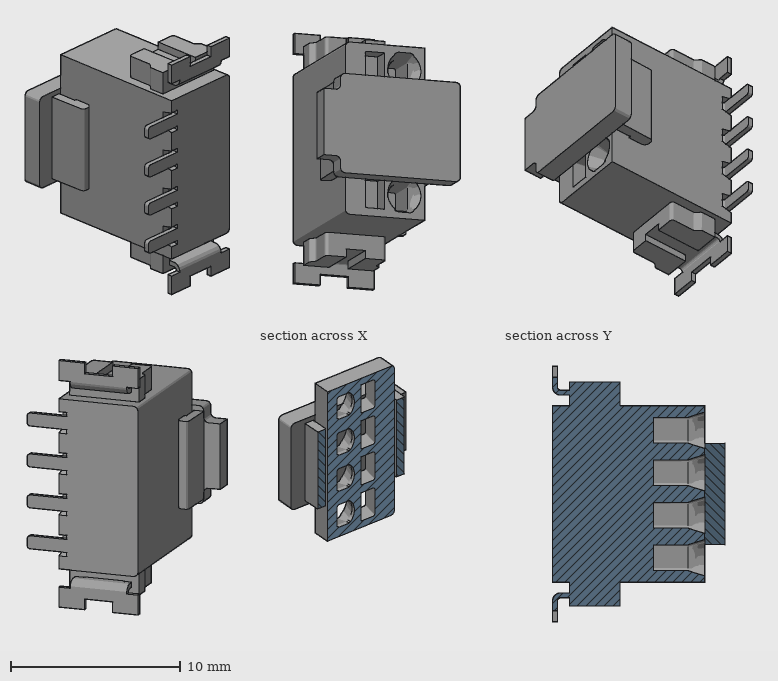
import cadquery as cq


housing_depth = 9.0
housing_width = 5.0
housing_half_width = housing_width / 2
housing_half_height = 5.21
housing_edge_radius = 0.3

pole_count = 4
pole_pitch = 2.5
pole_heights = [(i - (pole_count - 1) / 2) * pole_pitch for i in range(pole_count)]

funnel_depth = 1.0
funnel_center_y = -1.21
funnel_half_width = 1.04
funnel_half_height = 1.07
funnel_flat_half = 0.32
funnel_kink_y = 0.63
funnel_kink_z = 0.86
bore_end_depth = 3.02
bore_side_y = -1.77
bore_bulge_y = -0.51
bore_half_height = 0.77
bore_corner = 0.15
bore_kink_y = -0.8
bore_kink_drop = 0.06
bore_kink_run = 0.1

slot_low_y = 0.03
slot_high_y = 1.24
slot_floor_y = 1.0
slot_half_height = 0.97
slot_edge_radius = 0.09
slot_depth = 1.21

metal_thickness = 0.3
metal_front_x = housing_depth - metal_thickness

pin_tip_y = -4.5
pin_width = 0.8
pin_tip_radius = 0.2
pin_bend_radius = 0.29
pocket_depth_x = 0.68
pocket_depth_y = 0.5
pocket_front_half = 0.48
pocket_rear_half = 0.65

lug_front_x = 5.0
lug_rear_x = 8.0
lug_top = 6.61
lug_front_half = 1.89
lug_rear_half = 2.19
lug_step_x = 6.69
lug_edge_radius = 0.2
lug_groove_half = 0.6

bracket_top = 7.55
bracket_foot_z = 6.13
bracket_neck_half = 1.3
bracket_neck_end_x = 8.1
bracket_neck_chamfer = 0.06
bracket_web_half = 1.78
bracket_web_radius = 0.09
bracket_ear_bottom = 6.33
bracket_notch_half = 0.89
bracket_notch_bottom = 6.9
bend_inner_radius = 0.2
bend_outer_radius = bend_inner_radius + metal_thickness

cap_thickness = 1.2
cap_low_y = -4.3
cap_tab_y = 4.27
cap_half_height = 3.0
cap_shoulder_y = 3.23
cap_tab_half_height = 2.01
cap_corner_radius = 0.3
leg_length = 2.52
leg_half_height = 2.69
leg_root_outer_y = 3.25
leg_tip_outer_y = 3.2
leg_tip_start_x = 1.27
leg_inner_y = 2.63
leg_tip_outer_radius = 0.21
leg_tip_inner_radius = 0.35


def box(x0, x1, y0, y1, z0, z1):
    """Axis-aligned block between two opposite corners."""
    return cq.Workplane("XY").box(x1 - x0, y1 - y0, z1 - z0, centered=False).translate((x0, y0, z0))


def with_mirror(part, plane):
    return part.union(part.mirror(plane))


def make_block():
    block = box(0, housing_depth, -housing_half_width, housing_half_width,
                -housing_half_height, housing_half_height)
    return block.edges("|X and >Y").fillet(housing_edge_radius)


def funnel_outline(x):
    """Mouth of the wire entry: two bulging sides joined by flats with rounded corners."""
    run = funnel_kink_y - funnel_flat_half
    drop = funnel_half_height - funnel_kink_z
    corner_radius = (run**2 + drop**2) / (2 * drop)
    return (
        cq.Workplane("YZ", origin=(x, funnel_center_y, 0))
        .moveTo(-funnel_flat_half, funnel_half_height)
        .lineTo(funnel_flat_half, funnel_half_height)
        .radiusArc((funnel_kink_y, funnel_kink_z), corner_radius)
        .threePointArc((funnel_half_width, 0), (funnel_kink_y, -funnel_kink_z))
        .radiusArc((funnel_flat_half, -funnel_half_height), corner_radius)
        .lineTo(-funnel_flat_half, -funnel_half_height)
        .radiusArc((-funnel_kink_y, -funnel_kink_z), corner_radius)
        .threePointArc((-funnel_half_width, 0), (-funnel_kink_y, funnel_kink_z))
        .radiusArc((-funnel_flat_half, funnel_half_height), corner_radius)
        .close()
    )


def bore_outline(x):
    """Bore section: straight on the -Y side, bulging on the +Y side."""
    kink_z = bore_half_height - bore_kink_drop
    flat_end_y = bore_kink_y - bore_kink_run
    corner_y = bore_side_y + bore_corner
    corner_z = bore_half_height - bore_corner
    return (
        cq.Workplane("YZ", origin=(x, 0, 0))
        .moveTo(corner_y, bore_half_height)
        .lineTo(flat_end_y, bore_half_height)
        .lineTo(bore_kink_y, kink_z)
        .threePointArc((bore_bulge_y, 0), (bore_kink_y, -kink_z))
        .lineTo(flat_end_y, -bore_half_height)
        .lineTo(corner_y, -bore_half_height)
        .radiusArc((bore_side_y, -corner_z), bore_corner)
        .lineTo(bore_side_y, corner_z)
        .radiusArc((corner_y, bore_half_height), bore_corner)
        .close()
    )


def make_wire_entry():
    mouth = funnel_outline(0).val()
    throat = bore_outline(funnel_depth).val()
    funnel = cq.Workplane(cq.Solid.makeLoft([mouth, throat], True))
    return funnel.union(bore_outline(funnel_depth).extrude(bore_end_depth - funnel_depth))


def make_release_slot():
    """Slot whose +Y wall slopes inward towards its floor, with that wall's long edges rounded."""
    slot = (
        cq.Workplane("XY", origin=(0, 0, -slot_half_height))
        .moveTo(0, slot_low_y)
        .lineTo(slot_depth, slot_low_y)
        .lineTo(slot_depth, slot_floor_y)
        .lineTo(0, slot_high_y)
        .close()
        .extrude(2 * slot_half_height)
    )
    return slot.edges("not (|X or |Y or |Z)").fillet(slot_edge_radius)


def make_pin_pocket():
    """Recess for one pin, widening to the rear face."""
    front_x = housing_depth - pocket_depth_x
    outline = [
        (front_x, -pocket_front_half),
        (housing_depth, -pocket_rear_half),
        (housing_depth, pocket_rear_half),
        (front_x, pocket_front_half),
    ]
    return (
        cq.Workplane("XZ", origin=(0, -housing_half_width + pocket_depth_y, 0))
        .polyline(outline)
        .close()
        .extrude(pocket_depth_y)
    )


def make_pin():
    """Flat pin standing in its pocket, with a rounded root and rounded tip corners."""
    root_y = -housing_half_width + pocket_depth_y
    blade = box(metal_front_x, housing_depth, pin_tip_y, root_y, -pin_width / 2, pin_width / 2)
    blade = blade.edges("|X and <Y").fillet(pin_tip_radius)
    root = (
        cq.Workplane("XY", origin=(0, 0, -pin_width / 2))
        .moveTo(metal_front_x, root_y)
        .lineTo(metal_front_x - pin_bend_radius, root_y)
        .radiusArc((metal_front_x, root_y - pin_bend_radius), pin_bend_radius)
        .close()
        .extrude(pin_width)
    )
    return blade.union(root)


def make_lug():
    """Stepped lug on the top face, with a groove along X."""
    step_end_x = lug_step_x + lug_rear_half - lug_front_half
    half_outline = [
        (lug_front_x, lug_front_half),
        (lug_step_x, lug_front_half),
        (step_end_x, lug_rear_half),
        (lug_rear_x, lug_rear_half),
    ]
    outline = half_outline + [(x, -y) for x, y in reversed(half_outline)]
    lug = (
        cq.Workplane("XY", origin=(0, 0, housing_half_height))
        .polyline(outline)
        .close()
        .extrude(lug_top - housing_half_height)
        .edges("|Z and (not >X)")
        .fillet(lug_edge_radius)
    )
    groove = box(lug_front_x, lug_rear_x, -lug_groove_half, lug_groove_half, bracket_foot_z, lug_top)
    return lug.cut(groove)


def make_bracket():
    """Bent strip that leaves the lug to the rear and turns up into two ears."""
    foot_bottom = bracket_foot_z - metal_thickness
    bend_start_x = housing_depth - bend_outer_radius
    neck = box(lug_rear_x, bracket_neck_end_x, -bracket_neck_half, bracket_neck_half,
               foot_bottom, bracket_foot_z)
    neck = neck.edges("|Z and <X").chamfer(bracket_neck_chamfer)
    web = (
        cq.Workplane("XZ", origin=(0, bracket_web_half, 0))
        .moveTo(bracket_neck_end_x, foot_bottom)
        .lineTo(bend_start_x, foot_bottom)
        .radiusArc((housing_depth, bracket_ear_bottom), -bend_outer_radius)
        .lineTo(metal_front_x, bracket_ear_bottom)
        .radiusArc((bend_start_x, bracket_foot_z), bend_inner_radius)
        .lineTo(bracket_neck_end_x, bracket_foot_z)
        .close()
        .extrude(2 * bracket_web_half)
        .edges("|Z and <X")
        .fillet(bracket_web_radius)
    )
    ears = box(metal_front_x, housing_depth, -housing_half_width, housing_half_width,
               bracket_ear_bottom, bracket_top)
    notch = box(metal_front_x, housing_depth, -bracket_notch_half, bracket_notch_half,
                bracket_notch_bottom, bracket_top)
    return neck.union(web).union(ears.cut(notch))


def make_connector():
    body = make_block()
    wire_entry = make_wire_entry()
    slot = make_release_slot()
    pocket = make_pin_pocket()
    pin = make_pin()
    for z in pole_heights:
        for cavity in (wire_entry, slot, pocket):
            body = body.cut(cavity.translate((0, 0, z)))
        body = body.union(pin.translate((0, 0, z)))
    mount = make_lug().union(make_bracket())
    return body.union(with_mirror(mount, "XY"))


def make_cap_plate():
    """Flat plate with a narrower tab on its +Y side."""
    main = box(-cap_thickness, 0, cap_low_y, cap_shoulder_y, -cap_half_height, cap_half_height)
    main = main.edges("|X").fillet(cap_corner_radius)
    tab = box(-cap_thickness, 0, 0, cap_tab_y, -cap_tab_half_height, cap_tab_half_height)
    inner_corner = (
        cq.Workplane("YZ", origin=(-cap_thickness, cap_shoulder_y, cap_tab_half_height))
        .lineTo(cap_corner_radius, 0)
        .radiusArc((0, cap_corner_radius), cap_corner_radius)
        .close()
        .extrude(cap_thickness)
    )
    return main.union(tab).union(with_mirror(inner_corner, "XY"))


def make_leg():
    """Clip leg whose thicker tip presses on the +Y side of the housing."""
    tip_inner_y = housing_half_width
    return (
        cq.Workplane("XY", origin=(0, 0, -leg_half_height))
        .moveTo(0, leg_root_outer_y)
        .lineTo(leg_length - leg_tip_outer_radius, leg_tip_outer_y)
        .radiusArc((leg_length, leg_tip_outer_y - leg_tip_outer_radius), leg_tip_outer_radius)
        .lineTo(leg_length, tip_inner_y + leg_tip_inner_radius)
        .radiusArc((leg_length - leg_tip_inner_radius, tip_inner_y), leg_tip_inner_radius)
        .lineTo(leg_tip_start_x, tip_inner_y)
        .lineTo(leg_tip_start_x, leg_inner_y)
        .lineTo(0, leg_inner_y)
        .close()
        .extrude(2 * leg_half_height)
    )


def make_cap():
    return make_cap_plate().union(with_mirror(make_leg(), "XZ"))


connector = make_connector()
cap = make_cap()
result = cq.Compound.makeCompound([connector.val(), cap.val()])